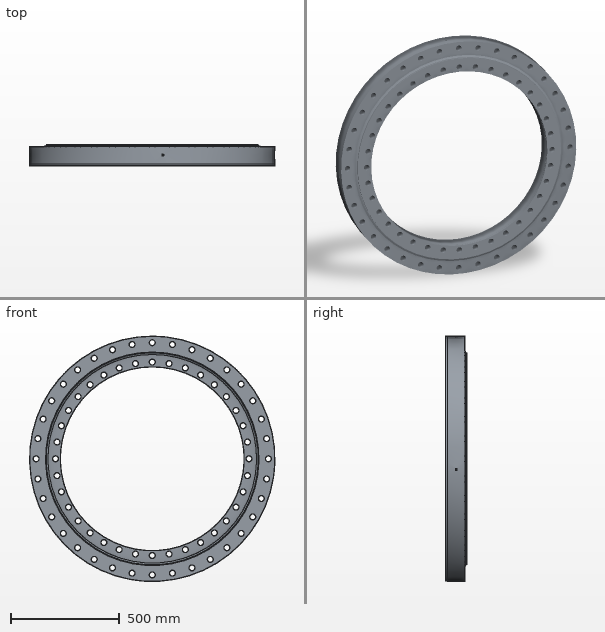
import cadquery as cq
import math


overall_height = 100.0
ring_offset = 10.0
ring_height = overall_height - ring_offset
outer_front = -overall_height / 2
outer_rear = outer_front + ring_height
inner_front = outer_front + ring_offset
inner_rear = overall_height / 2

outer_radius = 565.0
bore_radius = 423.0
gap_outer_radius = 492.0
gap_inner_radius = 488.0

step_depth = 0.6
step_height = 10.0

bolt_count = 36
bolt_hole_diameter = 26.0
outer_bolt_radius = 535.0
inner_bolt_radius = 445.0
bolt_pitch = 360 / bolt_count

grease_count = 4
grease_diameter = 9.0
grease_start_angle = bolt_pitch / 2

seal_width = 11.0
seal_flat = 2.0
seal_height = 5.0


def revolve_profile(points):
    """Revolve a closed profile of (radius, Y) points about the Y axis."""
    section = [(y, radius) for radius, y in points]
    return cq.Workplane("YZ").polyline(section).close().revolve(360, (0, 0, 0), (1, 0, 0))


def bolt_holes(pitch_radius):
    """Full-height cutters for one circle of axial bolt holes."""
    return (
        cq.Workplane("XZ", origin=(0, inner_rear, 0))
        .polarArray(pitch_radius, 0, 360, bolt_count)
        .circle(bolt_hole_diameter / 2)
        .extrude(overall_height)
    )


def grease_hole(angle):
    """Radial cutter at an angle measured from +Z toward +X."""
    direction = cq.Vector(math.sin(math.radians(angle)), 0, math.cos(math.radians(angle)))
    return cq.Solid.makeCylinder(grease_diameter / 2, outer_radius, cq.Vector(0, 0, 0), direction)


def make_outer_ring():
    ring = revolve_profile([
        (gap_outer_radius, outer_front),
        (outer_radius - step_depth, outer_front),
        (outer_radius - step_depth, outer_front + step_height),
        (outer_radius, outer_front + step_height),
        (outer_radius, outer_rear),
        (gap_outer_radius, outer_rear),
    ])
    ring = ring.cut(bolt_holes(outer_bolt_radius))
    for index in range(grease_count):
        ring = ring.cut(cq.Workplane(grease_hole(grease_start_angle + index * 360 / grease_count)))
    return ring


def make_inner_ring():
    ring = revolve_profile([
        (bore_radius, inner_front),
        (gap_inner_radius, inner_front),
        (gap_inner_radius, inner_rear),
        (bore_radius + step_depth, inner_rear),
        (bore_radius + step_depth, inner_rear - step_height),
        (bore_radius, inner_rear - step_height),
    ])
    return ring.cut(bolt_holes(inner_bolt_radius))


def make_seal(wall_radius, base_y, radial_direction, axial_direction):
    """Bevelled seal against a ring wall, resting on the end face of the other ring."""
    top_y = base_y + axial_direction * seal_height
    return revolve_profile([
        (wall_radius, base_y),
        (wall_radius + radial_direction * seal_width, base_y),
        (wall_radius + radial_direction * seal_flat, top_y),
        (wall_radius, top_y),
    ])


outer_ring = make_outer_ring()
inner_ring = make_inner_ring()
seals = [
    make_seal(gap_outer_radius, inner_front, -1, -1),
    make_seal(gap_inner_radius, outer_rear, 1, 1),
]

result = cq.Compound.makeCompound([
    outer_ring.val(),
    inner_ring.val(),
    *[seal.val() for seal in seals],
])